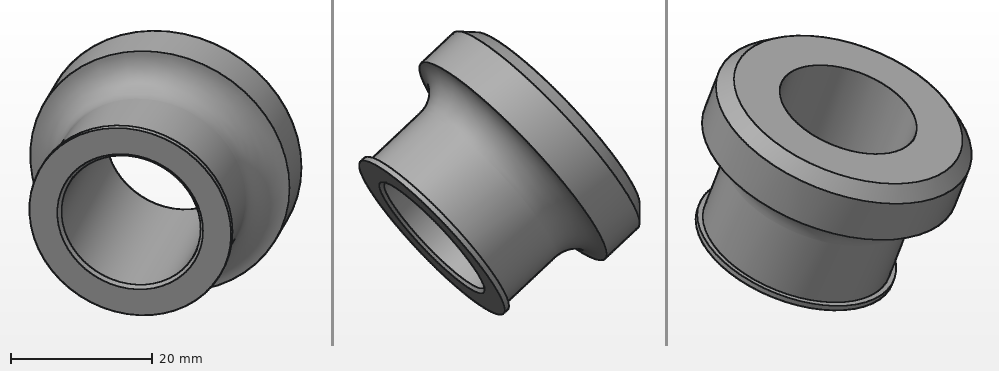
import cadquery as cq
import math

length = 24.5
head_radius = 19.0
head_length = 8.5
head_chamfer = 2.0
neck_radius = 13.98
lip_radius = 14.78
lip_thickness = 0.85
bore_radius = 10.2
bore_chamfer = 0.5

front = -length / 2
back = length / 2
head_front = back - head_length
cove_radius = head_radius - neck_radius
cove_front = head_front - cove_radius
cove_mid_offset = cove_radius * math.sqrt(0.5)

half_section = (
    cq.Workplane("XY")
    .moveTo(bore_radius + bore_chamfer, front)
    .lineTo(lip_radius, front)
    .lineTo(lip_radius, front + lip_thickness)
    .lineTo(neck_radius, front + lip_thickness)
    .lineTo(neck_radius, cove_front)
    .threePointArc(
        (head_radius - cove_mid_offset, cove_front + cove_mid_offset),
        (head_radius, head_front),
    )
    .lineTo(head_radius, back - head_chamfer)
    .lineTo(head_radius - head_chamfer, back)
    .lineTo(bore_radius, back)
    .lineTo(bore_radius, front + bore_chamfer)
    .close()
)

result = half_section.revolve(360, (0, 0, 0), (0, 1, 0))